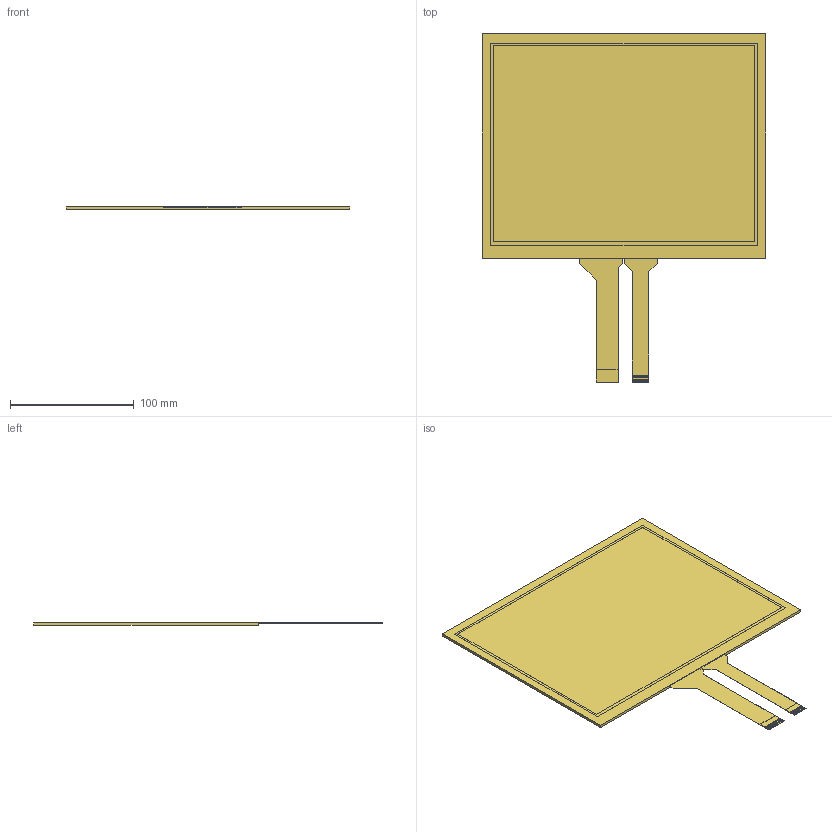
import cadquery as cq

OVERALL_LENGTH = 280.9
PANEL_WIDTH = 228.5
PANEL_LENGTH = 180.9
PANEL_THICKNESS = 2.2
PANEL_BACK_Y = OVERALL_LENGTH / 2
PANEL_FRONT_Y = PANEL_BACK_Y - PANEL_LENGTH
TAIL_END_Y = -OVERALL_LENGTH / 2
PANEL_TOP_Z = PANEL_THICKNESS / 2

VIEWING_WIDTH = 215.0
VIEWING_LENGTH = 163.0
VIEWING_BACK_MARGIN = 7.4
ACTIVE_WIDTH = 211.0
ACTIVE_LENGTH = 158.4
ACTIVE_BACK_MARGIN = 9.4
FRAME_GROOVE_DEPTH = 0.05

TAIL_THICKNESS = 0.1
TAIL_BOTTOM_Z = 0.75
TAIL_TOP_Z = TAIL_BOTTOM_Z + TAIL_THICKNESS
FLARE_STRAIGHT_LENGTH = 4.3

STIFFENER_LENGTH = 10.2
STIFFENER_THICKNESS = 0.2
CONTACT_LENGTH = 5.0
CONTACT_THICKNESS = 0.05
CONTACT_PITCH = 1.0
CONTACT_WIDTH = 0.6

WIDE_FLARE = (-35.8, -1.2)
WIDE_STEM = (-22.3, -4.8)
WIDE_CONTACTS = 17
NARROW_FLARE = (0.3, 26.7)
NARROW_STEM = (6.8, 20.1)
NARROW_CONTACTS = 13


def box_between(x_limits, y_limits, z_limits):
    """Box spanning the given limits along each axis."""
    sizes = [high - low for low, high in (x_limits, y_limits, z_limits)]
    corner = (x_limits[0], y_limits[0], z_limits[0])
    return cq.Workplane("XY").box(*sizes, centered=False).translate(corner)


def area_block(width, length, back_margin):
    """Block of groove depth under a rectangle of the panel's top face, centred on X."""
    back_y = PANEL_BACK_Y - back_margin
    return box_between(
        (-width / 2, width / 2),
        (back_y - length, back_y),
        (PANEL_TOP_Z - FRAME_GROOVE_DEPTH, PANEL_TOP_Z),
    )


def make_panel():
    """Glass plate with the shallow frame groove in its top face."""
    half_width = PANEL_WIDTH / 2
    plate = box_between(
        (-half_width, half_width),
        (PANEL_FRONT_Y, PANEL_BACK_Y),
        (-PANEL_TOP_Z, PANEL_TOP_Z),
    )
    viewing_area = area_block(VIEWING_WIDTH, VIEWING_LENGTH, VIEWING_BACK_MARGIN)
    active_area = area_block(ACTIVE_WIDTH, ACTIVE_LENGTH, ACTIVE_BACK_MARGIN)
    return plate.cut(viewing_area.cut(active_area))


def make_tail_strip(flare, stem):
    """Flat strip that narrows at 45 degrees on each side, from the flare to the stem."""
    flare_left, flare_right = flare
    stem_left, stem_right = stem
    taper_start_y = PANEL_FRONT_Y - FLARE_STRAIGHT_LENGTH
    left_taper = stem_left - flare_left
    right_taper = flare_right - stem_right
    outline = [
        (flare_left, PANEL_FRONT_Y),
        (flare_left, taper_start_y),
        (stem_left, taper_start_y - left_taper),
        (stem_left, TAIL_END_Y),
        (stem_right, TAIL_END_Y),
        (stem_right, taper_start_y - right_taper),
        (flare_right, taper_start_y),
        (flare_right, PANEL_FRONT_Y),
    ]
    return cq.Workplane("XY", origin=(0, 0, TAIL_BOTTOM_Z)).polyline(outline).close().extrude(TAIL_THICKNESS)


def layer_z_limits(on_top, thickness):
    """Z limits of a layer laid on the top or the bottom face of a tail."""
    if on_top:
        return (TAIL_TOP_Z, TAIL_TOP_Z + thickness)
    return (TAIL_BOTTOM_Z - thickness, TAIL_BOTTOM_Z)


def make_tail(flare, stem, contact_count, contacts_on_top):
    """Tail strip with its end stiffener and, on the opposite face, its contacts."""
    tail = make_tail_strip(flare, stem)
    stiffener_z = layer_z_limits(not contacts_on_top, STIFFENER_THICKNESS)
    tail = tail.union(box_between(stem, (TAIL_END_Y, TAIL_END_Y + STIFFENER_LENGTH), stiffener_z))

    contact_y = (TAIL_END_Y, TAIL_END_Y + CONTACT_LENGTH)
    contact_z = layer_z_limits(contacts_on_top, CONTACT_THICKNESS)
    stem_middle = sum(stem) / 2
    first_left = stem_middle - (CONTACT_PITCH * (contact_count - 1) + CONTACT_WIDTH) / 2
    for index in range(contact_count):
        left = first_left + index * CONTACT_PITCH
        tail = tail.union(box_between((left, left + CONTACT_WIDTH), contact_y, contact_z))
    return tail


wide_tail = make_tail(WIDE_FLARE, WIDE_STEM, WIDE_CONTACTS, contacts_on_top=False)
narrow_tail = make_tail(NARROW_FLARE, NARROW_STEM, NARROW_CONTACTS, contacts_on_top=True)
result = make_panel().union(wide_tail).union(narrow_tail)